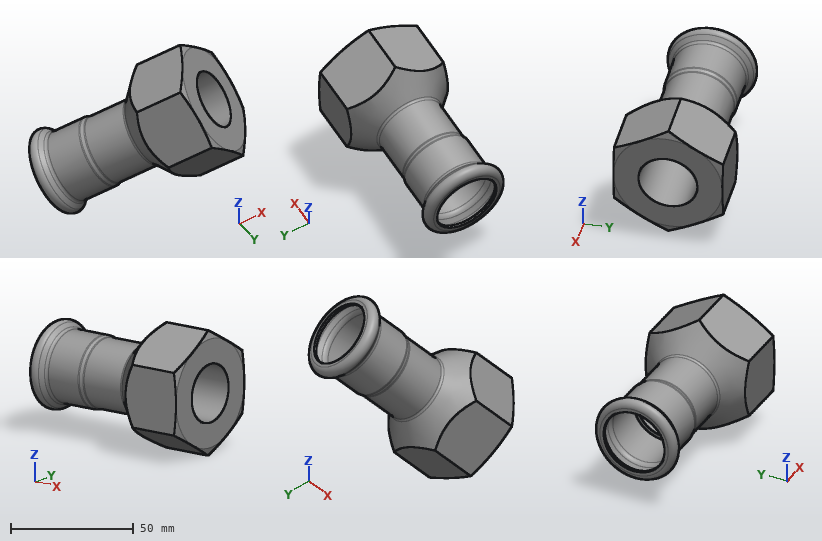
import cadquery as cq
import math

length = 80.0
hex_across_flats = 46.0
hex_corner_radius = hex_across_flats / math.sqrt(3)

socket_radius = 31.0 / 2
neck_radius = 29.8 / 2
bead_tube_radius = 3.0
bead_outer_radius = 18.8
bead_blend_end = 8.5
bead_blend_radius = 2.2
step_start = 23.8
step_end = 26.4
step_blend_length = 0.6

cone_start = 45.2
cone_blend_radius = 1.7
end_chamfer_length = 1.0
end_chamfer_radius = hex_across_flats / 2

wall_thickness = 1.3
mouth_radius = 14.1
bore_radius = 12.4
socket_depth = step_end

diagonal = math.sqrt(0.5)
half_diagonal_sine = math.sin(math.pi / 8)
half_diagonal_cosine = math.cos(math.pi / 8)

bead_center = (bead_tube_radius, bead_outer_radius - bead_tube_radius)
bead_blend_center = (bead_blend_end, socket_radius + bead_blend_radius)


def arc_point(center, radius, sine, cosine):
    """Point on an arc, measured by axial sine and radial cosine."""
    return (center[0] + radius * sine, center[1] + radius * cosine)


def make_outer_body():
    """Revolved tube and 45-degree cone, trimmed by the hexagonal outline."""
    cone_blend_center = (cone_start, neck_radius + cone_blend_radius)
    cone_base = arc_point(cone_blend_center, cone_blend_radius, diagonal, -diagonal)
    cone_end = cone_base[0] + hex_corner_radius - cone_base[1]

    step_drop = socket_radius - neck_radius
    step_angle = math.atan(step_drop / (step_end - step_start - step_blend_length))
    step_blend_radius = step_blend_length / math.sin(step_angle)
    arc_drop = step_blend_radius * (1 - math.cos(step_angle))
    mid_drop = step_blend_radius * (1 - math.cos(step_angle / 2))
    mid_length = step_blend_radius * math.sin(step_angle / 2)

    profile = (
        cq.Workplane("XY")
        .moveTo(0, 0)
        .lineTo(0, bead_center[1])
        .threePointArc(
            arc_point(bead_center, bead_tube_radius, -half_diagonal_sine, half_diagonal_cosine),
            arc_point(bead_center, bead_tube_radius, diagonal, diagonal),
        )
        .lineTo(*arc_point(bead_blend_center, bead_blend_radius, -diagonal, -diagonal))
        .threePointArc(
            arc_point(bead_blend_center, bead_blend_radius, -half_diagonal_sine, -half_diagonal_cosine),
            (bead_blend_end, socket_radius),
        )
        .lineTo(step_start, socket_radius)
        .threePointArc(
            (step_start + mid_length, socket_radius - mid_drop),
            (step_start + step_blend_length, socket_radius - arc_drop),
        )
        .lineTo(step_end - step_blend_length, neck_radius + arc_drop)
        .threePointArc(
            (step_end - mid_length, neck_radius + mid_drop),
            (step_end, neck_radius),
        )
        .lineTo(cone_start, neck_radius)
        .threePointArc(
            arc_point(cone_blend_center, cone_blend_radius, half_diagonal_sine, -half_diagonal_cosine),
            cone_base,
        )
        .lineTo(cone_end, hex_corner_radius)
        .lineTo(length - end_chamfer_length, hex_corner_radius)
        .lineTo(length, end_chamfer_radius)
        .lineTo(length, 0)
        .close()
    )
    turned_body = profile.revolve(360, (0, 0, 0), (1, 0, 0))
    hex_bar = (
        cq.Workplane("YZ")
        .polygon(6, 2 * hex_corner_radius)
        .extrude(length)
        .rotate((0, 0, 0), (1, 0, 0), 90)
    )
    return turned_body.intersect(hex_bar)


def make_passage():
    """Socket with a hollow bead, a flat tube stop and a through bore."""
    hollow_radius = bead_tube_radius - wall_thickness
    inner_blend_radius = bead_blend_radius + wall_thickness
    socket_bore_radius = socket_radius - wall_thickness
    return (
        cq.Workplane("XY")
        .moveTo(0, 0)
        .lineTo(0, mouth_radius)
        .lineTo(wall_thickness, mouth_radius)
        .lineTo(wall_thickness, bead_center[1])
        .threePointArc(
            arc_point(bead_center, hollow_radius, -half_diagonal_sine, half_diagonal_cosine),
            arc_point(bead_center, hollow_radius, diagonal, diagonal),
        )
        .lineTo(*arc_point(bead_blend_center, inner_blend_radius, -diagonal, -diagonal))
        .threePointArc(
            arc_point(bead_blend_center, inner_blend_radius, -half_diagonal_sine, -half_diagonal_cosine),
            (bead_blend_end, socket_bore_radius),
        )
        .lineTo(socket_depth, socket_bore_radius)
        .lineTo(socket_depth, bore_radius)
        .lineTo(length, bore_radius)
        .lineTo(length, 0)
        .close()
        .revolve(360, (0, 0, 0), (1, 0, 0))
    )


result = make_outer_body().cut(make_passage())